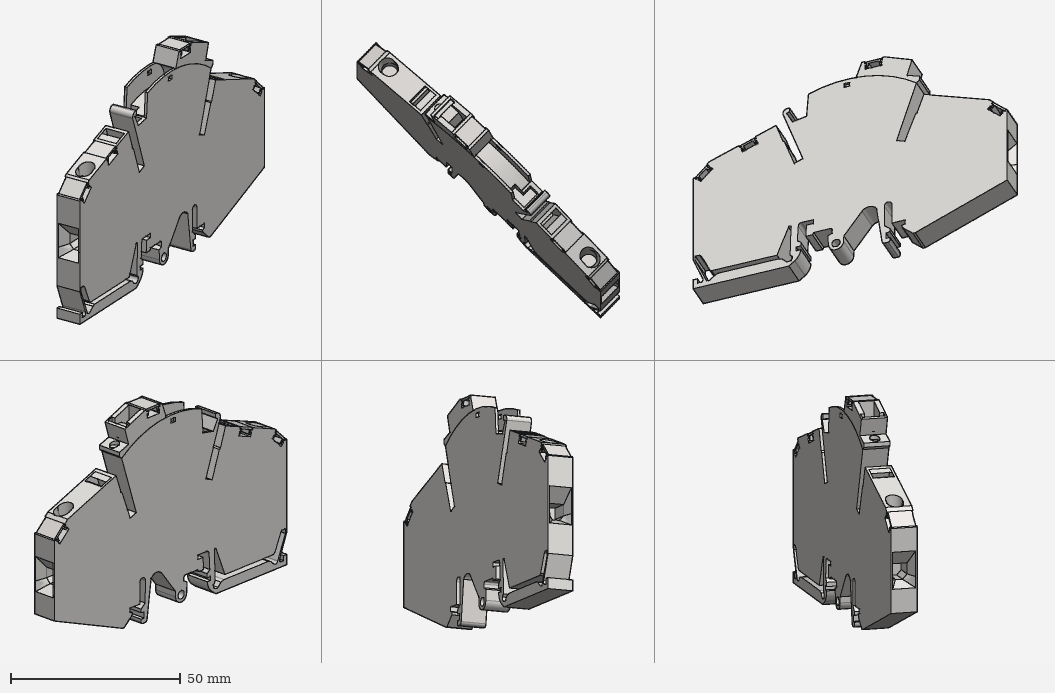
import cadquery as cq
import math

WIDTH = 8.1
LENGTH = 100.0
HEIGHT = 68.1
END_Y = LENGTH / 2
SLOPE_ANGLE = 20.0

LEFT_SHOULDER = [(23.5, 51.0), (44.3, 43.4), (END_Y, 38.2)]
RIGHT_SHOULDER = [(-23.6, 52.5), (-44.9, 45.0), (-END_Y, 40.1)]

CROWN_Y = -1.0
CROWN_Z = 26.4
CROWN_R = 36.8
DISC_R = 30.0
POCKET_WIDTH = 6.4
POCKET_LEFT_Y = 17.0
CROWN_RIGHT_Y = -13.3
POCKET_RIGHT_Y = -14.7
WELL_LEFT_Y = -11.3
WELL_RIGHT_Y = -17.8
WELL_RIGHT_X = 2.7
WELL_STEP_X = -0.3
WELL_FLOOR_Z = 49.5
WINDOW_Y = -1.1
WINDOW_Z = 61.2
WINDOW_LENGTH = 1.8
WINDOW_HEIGHT = 1.3

LUG_Y = -4.5
LUG_Z = 4.3
LUG_R = 2.4
LUG_HOLE_D = 2.6

ENTRY_X = 0.4
SCREW_Y = 40.8
SCREW_D = 5.0
SCREW_FLOOR_Z = 36.0
LEAD_IN_D = 5.1
LEAD_IN_DEPTH = 4.0
SOCKET_Y = 26.9
SOCKET_WIDTH = 6.5
SOCKET_LENGTH = 4.7
SOCKET_DEPTH = 13.5
SOCKET_LEDGE = 0.9
SOCKET_LEDGE_DEPTH = 0.8
FUNNEL_WIDTH = 7.1
FUNNEL_TOP_Z = 31.0
FUNNEL_BOTTOM_Z = 19.8
FUNNEL_DEPTH = 4.0
BORE_WIDTH = 5.0
BORE_TOP_Z = 26.6
BORE_KNEE_Z = 23.2
BORE_BOTTOM_Z = 21.7
BORE_BOTTOM_WIDTH = 2.2
BORE_DEPTH = 6.0

MARKER_WIDTH = 7.4
PLATE_LENGTH = 5.6
PLATE_THICKNESS = 0.7
NECK_LENGTH = 4.4
NECK_DEPTH = 1.5
SEAT_LENGTH = 5.2
SEAT_DEPTH = 2.8
LEG_DEPTH = 2.2
LEG_THICKNESS = 0.6
LEG_SPLAY = 0.3
SLOPE_MARKER_Y = -32.8
BEVEL_MARKER_Y = END_Y - 2.4

LEVER_TOP_LEFT_Y = 11.1
LEVER_TOP_RIGHT_Y = 3.7
LEVER_RIGHT_Y = 1.9
LEVER_LEFT = (19.7, 64.7)
LEVER_POCKET_WIDTH = 4.7
LEVER_LEDGE_WIDTH = 7.0
LEVER_LEDGE_LEFT_Y = 18.8
LEVER_LEDGE_RIGHT_Y = 17.2
LEVER_LEDGE_FLOOR_Z = 63.8
THUMB_NOTCH_R = 1.5
THUMB_NOTCH_Y = 19.9
THUMB_NOTCH_Z = (58.0, 60.5)


def crown_height(y, radius=CROWN_R):
    """Height of a circle about the crown axis at a given y."""
    return CROWN_Z + math.sqrt(radius**2 - (y - CROWN_Y) ** 2)


def lean(left, right):
    """Angle by which the surface between two (y, z) points faces away from +Z toward +Y."""
    return math.degrees(math.atan2(right[1] - left[1], left[0] - right[0]))


def point_at(start, end, y):
    """Point at a given y on the line through two (y, z) points."""
    share = (y - start[0]) / (end[0] - start[0])
    return (y, start[1] + share * (end[1] - start[1]))


def section_plane(origin, angle):
    """Plane across X; local x runs down the surface toward +Y, local y points out of it."""
    a = math.radians(angle)
    return cq.Plane((0, *origin), (0, math.cos(a), -math.sin(a)), (1, 0, 0))


def surface_plane(origin, angle, x=0):
    """Plane lying on a surface that leans toward +Y by the angle."""
    a = math.radians(angle)
    return cq.Plane((x, *origin), (1, 0, 0), (0, math.sin(a), math.cos(a)))


def slab(sketch, width=WIDTH):
    """Extrude a closed profile by a width centred on X = 0."""
    return sketch.extrude(width / 2, both=True)


def box(x_range, y_range, z_range):
    """Block between a lower and an upper limit on each axis."""
    ranges = (x_range, y_range, z_range)
    size = [upper - lower for lower, upper in ranges]
    corner = tuple(lower for lower, _ in ranges)
    return cq.Workplane().box(*size, centered=False).translate(corner)


LEVER_SEAT = (((LEVER_TOP_LEFT_Y + LEVER_TOP_RIGHT_Y) / 2, HEIGHT), 0.0)
HOUSING_SEATS = [
    (point_at(*LEFT_SHOULDER[1:], BEVEL_MARKER_Y), lean(LEFT_SHOULDER[2], LEFT_SHOULDER[1])),
    (point_at(*RIGHT_SHOULDER[1:], -BEVEL_MARKER_Y), lean(*RIGHT_SHOULDER[1:])),
    (point_at(*RIGHT_SHOULDER[:2], SLOPE_MARKER_Y), lean(*RIGHT_SHOULDER[:2])),
]


def housing_outline():
    """Closed outline of the housing in the YZ plane, clockwise from the left end."""
    crown_left = (21.1, crown_height(21.1))
    crown_top = (CROWN_Y, CROWN_Z + CROWN_R)
    crown_right = (CROWN_RIGHT_Y, crown_height(CROWN_RIGHT_Y))
    outline = cq.Workplane("YZ").moveTo(END_Y, 12.5)

    for point in reversed(LEFT_SHOULDER):
        outline = outline.lineTo(*point)
    outline = outline.lineTo(21.3, 44.9).lineTo(20.9, 44.7).lineTo(17.4, 35.5).lineTo(14.8, 36.5)

    outline = outline.lineTo(*crown_left).threePointArc(crown_top, crown_right)
    outline = outline.lineTo(-13.9, 53.2).lineTo(-18.3, 52.4).lineTo(-20.2, 55.9)
    outline = outline.lineTo(-19.3, 56.3).lineTo(-19.3, 57.7).lineTo(-20.1, 57.7)
    outline = outline.threePointArc((-21.2, 57.0), (-21.4, 55.9))

    outline = outline.lineTo(-15.1, 38.1).lineTo(-17.8, 37.0)
    outline = outline.lineTo(-20.9, 45.8).lineTo(-21.4, 46.2)
    for point in RIGHT_SHOULDER:
        outline = outline.lineTo(*point)

    outline = outline.lineTo(-END_Y, 10.6).lineTo(-47.0, 3.0)
    outline = outline.threePointArc((-46.9, 2.2), (-47.4, 1.7)).lineTo(-48.6, 1.7)
    outline = outline.lineTo(-48.6, 3.3).lineTo(-END_Y, 3.3).lineTo(-END_Y, 0).lineTo(-19.5, 0)
    outline = outline.lineTo(-17.6, 1.4).threePointArc((-16.3, 3.0), (-15.7, 5.0))

    outline = outline.lineTo(-17.2, 5.0).lineTo(-17.2, 6.3).lineTo(-15.7, 6.3).lineTo(-15.7, 7.6)
    outline = outline.lineTo(-16.8, 8.6).lineTo(-16.5, 13.8).threePointArc((-16.2, 14.5), (-15.5, 14.8))
    outline = outline.lineTo(-11.7, 14.8).lineTo(-11.7, 13.4).lineTo(-13.9, 13.4)
    outline = outline.lineTo(-14.1, 9.4).lineTo(-12.0, 9.4).lineTo(-11.6, 10.1).lineTo(-6.4, 10.1)
    outline = outline.threePointArc((-5.9, 9.9), (-5.7, 9.4)).lineTo(-5.7, 8.3).lineTo(-7.1, 7.6)

    outline = outline.lineTo(LUG_Y - LUG_R, LUG_Z)
    outline = outline.threePointArc((LUG_Y, LUG_Z - LUG_R), (LUG_Y + LUG_R, LUG_Z)).lineTo(-2.0, 6.2)
    outline = outline.lineTo(3.8, 13.7).threePointArc((6.3, 14.7), (8.4, 13.4)).lineTo(10.1, 1.0)
    outline = outline.threePointArc((10.5, 0.3), (11.2, 0.1)).lineTo(12.1, 0.1)
    outline = outline.threePointArc((12.5, 0.3), (12.7, 0.8)).lineTo(12.7, 1.7).lineTo(11.4, 1.7)
    outline = outline.lineTo(11.4, 3.6).lineTo(12.7, 3.8).lineTo(12.7, 4.9).lineTo(11.0, 6.4)

    outline = outline.lineTo(10.9, 13.6).threePointArc((12.1, 14.8), (13.3, 13.6)).lineTo(13.3, 6.7)
    outline = outline.lineTo(17.5, 6.8).lineTo(17.5, 5.4).lineTo(16.4, 5.0).lineTo(16.6, 4.2)
    return outline.lineTo(20.0, 1.2).lineTo(20.7, 1.2)


def foot_window():
    """Opening between the foot and the housing above it."""
    outline = cq.Workplane("YZ").moveTo(-18.8, 14.2).threePointArc((-19.2, 14.6), (-19.6, 14.2))
    outline = outline.lineTo(-23.3, 5.0).lineTo(-44.1, 5.0).lineTo(-44.8, 5.5).lineTo(-47.4, 11.2)
    outline = outline.lineTo(-47.9, 11.7).lineTo(-49.3, 11.7).lineTo(-49.3, 10.2).lineTo(-46.0, 2.4)
    outline = outline.threePointArc((-45.3, 1.7), (-44.6, 1.8)).lineTo(-42.9, 3.2).lineTo(-42.0, 3.5)
    outline = outline.lineTo(-22.9, 3.5).lineTo(-21.6, 3.1).lineTo(-20.3, 1.8)
    outline = outline.threePointArc((-18.9, 1.9), (-18.4, 3.2)).lineTo(-19.1, 4.0)
    return slab(outline.close())


def marker_seat(origin, angle):
    """Through opening under a marker: plate recess, neck and undercut."""
    plane = section_plane(origin, angle)
    recess = cq.Workplane(plane).rect(PLATE_LENGTH, 2 * PLATE_THICKNESS)
    neck = cq.Workplane(plane).rect(NECK_LENGTH, 2 * NECK_DEPTH)
    undercut_center = -(NECK_DEPTH + SEAT_DEPTH) / 2
    undercut = cq.Workplane(plane).center(0, undercut_center).rect(SEAT_LENGTH, SEAT_DEPTH - NECK_DEPTH)
    return slab(recess).union(slab(neck)).union(slab(undercut))


def marker(origin, angle):
    """Label marker whose plate lies flush with the surface at the origin."""
    plane = section_plane(origin, angle)
    plate = cq.Workplane(plane).center(0, -PLATE_THICKNESS / 2).rect(PLATE_LENGTH, PLATE_THICKNESS)
    body = slab(plate, MARKER_WIDTH)
    root = NECK_LENGTH / 2
    tip = root + LEG_SPLAY
    for side in (-1, 1):
        leg = cq.Workplane(plane).polyline([
            (side * (root - LEG_THICKNESS), -PLATE_THICKNESS),
            (side * root, -PLATE_THICKNESS),
            (side * root, -NECK_DEPTH),
            (side * tip, -LEG_DEPTH),
            (side * (tip - LEG_THICKNESS), -LEG_DEPTH),
        ])
        body = body.union(slab(leg.close(), MARKER_WIDTH))
    return body


def crown_pocket():
    """Pocket between the crown walls, floored by the disc, with an L-shaped well at the latch."""
    ring = cq.Workplane("YZ").center(CROWN_Y, CROWN_Z).circle(CROWN_R + 1).circle(DISC_R)
    ring = ring.extrude(POCKET_WIDTH / 2, both=True)
    side_x = POCKET_WIDTH / 2
    heights = (WELL_FLOOR_Z, HEIGHT)
    span = box((-side_x, side_x), (POCKET_RIGHT_Y, POCKET_LEFT_Y), heights)
    well = box((-side_x, WELL_RIGHT_X), (WELL_RIGHT_Y, POCKET_RIGHT_Y), heights)
    well_arm = box((-side_x, WELL_STEP_X), (WELL_RIGHT_Y, WELL_LEFT_Y), heights)
    return ring.intersect(span).union(well).union(well_arm)


def screw_hole(shoulder, y):
    """Upright blind hole with a leaning lead-in square to the shoulder."""
    y, z = point_at(*shoulder, y)
    angle = math.copysign(SLOPE_ANGLE, y)
    shaft = cq.Workplane("XY", (ENTRY_X, y, SCREW_FLOOR_Z)).circle(SCREW_D / 2)
    shaft = shaft.extrude(HEIGHT - SCREW_FLOOR_Z)
    bottom = surface_plane((y, z - LEAD_IN_DEPTH), angle, ENTRY_X)
    lead_in = cq.Workplane(bottom).circle(LEAD_IN_D / 2).extrude(2 * LEAD_IN_DEPTH)
    return shaft.union(lead_in)


def socket(shoulder, y):
    """Bridge socket sunk square to the shoulder, with a shallow ledge on its lower side."""
    plane = surface_plane(point_at(*shoulder, y), math.copysign(SLOPE_ANGLE, y))
    mouth = cq.Workplane(plane).rect(SOCKET_WIDTH, SOCKET_LENGTH).extrude(-SOCKET_LEDGE_DEPTH)
    shaft = cq.Workplane(plane).center(0, math.copysign(SOCKET_LEDGE / 2, -y))
    shaft = shaft.rect(SOCKET_WIDTH, SOCKET_LENGTH - SOCKET_LEDGE).extrude(-SOCKET_DEPTH)
    return mouth.union(shaft)


def wire_entry():
    """Funnel and bore in the right end; the bore is narrower below its knee."""
    mouth_x = FUNNEL_WIDTH / 2
    mouth = [
        (-mouth_x, FUNNEL_TOP_Z),
        (mouth_x, FUNNEL_TOP_Z),
        (mouth_x, BORE_KNEE_Z),
        (mouth_x, FUNNEL_BOTTOM_Z),
        (-mouth_x, FUNNEL_BOTTOM_Z),
        (-mouth_x, BORE_KNEE_Z),
    ]
    left_x = ENTRY_X - BORE_WIDTH / 2
    right_x = ENTRY_X + BORE_WIDTH / 2
    throat = [
        (left_x, BORE_TOP_Z),
        (right_x, BORE_TOP_Z),
        (right_x, BORE_KNEE_Z),
        (ENTRY_X + BORE_BOTTOM_WIDTH / 2, BORE_BOTTOM_Z),
        (ENTRY_X - BORE_BOTTOM_WIDTH / 2, BORE_BOTTOM_Z),
        (left_x, BORE_KNEE_Z),
    ]
    outer = cq.Workplane("XZ", (0, -END_Y, 0)).polyline(mouth).close()
    funnel = outer.workplane(offset=-FUNNEL_DEPTH).polyline(throat).close().loft(ruled=True)
    inner = cq.Workplane("XZ", (0, FUNNEL_DEPTH - END_Y, 0)).polyline(throat).close()
    return funnel.union(inner.extrude(-BORE_DEPTH))


def make_housing():
    housing = slab(housing_outline().close()).cut(foot_window())
    lug_hole = cq.Workplane("YZ").center(LUG_Y, LUG_Z).circle(LUG_HOLE_D / 2)
    window = cq.Workplane("YZ").center(WINDOW_Y, WINDOW_Z).rect(WINDOW_LENGTH, WINDOW_HEIGHT)
    housing = housing.cut(slab(lug_hole)).cut(slab(window)).cut(crown_pocket())
    for shoulder, side in ((LEFT_SHOULDER[:2], 1), (RIGHT_SHOULDER[:2], -1)):
        housing = housing.cut(screw_hole(shoulder, side * SCREW_Y)).cut(socket(shoulder, side * SOCKET_Y))
    entry = wire_entry()
    housing = housing.cut(entry).cut(entry.mirror("XZ"))
    for seat in HOUSING_SEATS:
        housing = housing.cut(marker_seat(*seat))
    return housing


def lever_cap():
    """Full-width part of the lever that rides on top of the crown."""
    flange_y = 21.1
    rest_y = 10.0
    cap = cq.Workplane("YZ").moveTo(LEVER_RIGHT_Y, crown_height(LEVER_RIGHT_Y))
    cap = cap.lineTo(LEVER_TOP_RIGHT_Y, HEIGHT).lineTo(LEVER_TOP_LEFT_Y, HEIGHT).lineTo(*LEVER_LEFT)
    cap = cap.lineTo(18.1, 59.4).lineTo(22.1, 58.0).lineTo(22.1, 56.7)
    cap = cap.lineTo(flange_y, crown_height(flange_y))
    cap = cap.threePointArc((rest_y, crown_height(rest_y)), (LEVER_RIGHT_Y, crown_height(LEVER_RIGHT_Y)))
    return slab(cap.close())


def lever_insert():
    """Part of the lever inside the crown pocket, with a hollow front face."""
    foot_y = 7.0
    rest_y = 12.0
    insert = cq.Workplane("YZ").moveTo(LEVER_RIGHT_Y, crown_height(LEVER_RIGHT_Y))
    insert = insert.threePointArc((rest_y, crown_height(rest_y)), (POCKET_LEFT_Y, crown_height(POCKET_LEFT_Y)))
    insert = insert.lineTo(POCKET_LEFT_Y, crown_height(POCKET_LEFT_Y, DISC_R))
    insert = insert.threePointArc((rest_y, crown_height(rest_y, DISC_R)), (foot_y, crown_height(foot_y, DISC_R)))
    insert = insert.threePointArc((5.6, 60.4), (LEVER_RIGHT_Y, crown_height(LEVER_RIGHT_Y)))
    return slab(insert.close(), POCKET_WIDTH)


def make_lever():
    """Lever with a stepped tool opening, a ledge beside it and a thumb notch in its flange."""
    lever = lever_cap().union(lever_insert())
    opening = cq.Workplane("YZ").polyline([
        (17.6, HEIGHT),
        (17.6, 63.5),
        (14.4, 63.5),
        (12.6, 59.5),
        (11.2, 59.5),
        (11.2, HEIGHT),
    ])
    lever = lever.cut(slab(opening.close(), LEVER_POCKET_WIDTH))
    ledge_x = LEVER_LEDGE_WIDTH / 2
    ledge_y = (LEVER_LEDGE_RIGHT_Y, LEVER_LEDGE_LEFT_Y)
    ledge = box((-ledge_x, ledge_x), ledge_y, (LEVER_LEDGE_FLOOR_Z, HEIGHT))
    notch_floor, notch_top = THUMB_NOTCH_Z
    notch = cq.Workplane("XY", (0, THUMB_NOTCH_Y, notch_floor)).circle(THUMB_NOTCH_R)
    notch = notch.extrude(notch_top - notch_floor)
    return lever.cut(ledge).cut(notch).cut(marker_seat(*LEVER_SEAT))


housing = make_housing()
lever = make_lever()
markers = [marker(*seat).val() for seat in [*HOUSING_SEATS, LEVER_SEAT]]
result = cq.Compound.makeCompound([housing.val(), lever.val(), *markers])